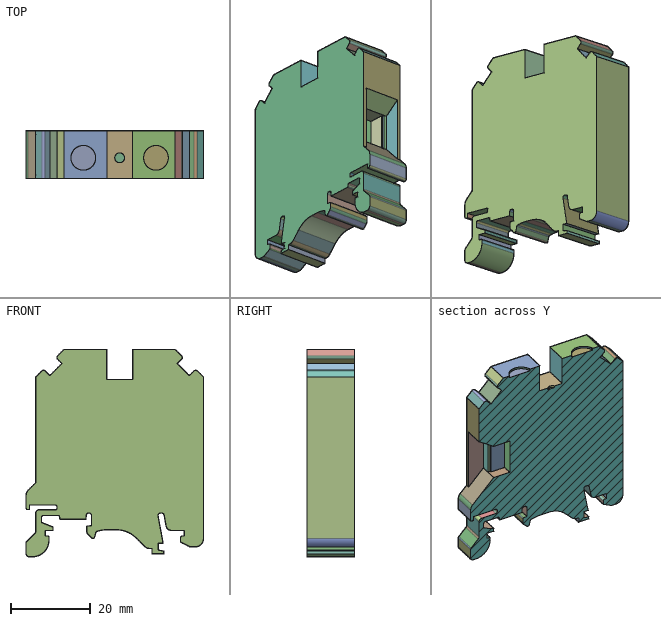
import cadquery as cq
import math


LENGTH = 44.5
THICKNESS = 12.0
HEIGHT = 52.0
BODY_LEFT = 2.45
BODY_MIDDLE = (BODY_LEFT + LENGTH) / 2

WALL_TOP = 45.08
SHOULDER_PEAK = (4.41, 47.04)
SHOULDER_VALLEY = (6.0, 45.45)
NECK = (9.0, 48.45)
HEAD_TIP = (7.5, 49.95)
HEAD_EDGE = HEAD_TIP[0] + HEIGHT - HEAD_TIP[1]
TIP_RADIUS = 0.6

SLOT_WIDTH = 6.45
SLOT_FLOOR = 44.5

ACROSS_CENTRE = -0.8
SCREW_DIAMETER = 6.2
SCREW_SPACING = 18.2
SLOT_HOLE_DIAMETER = 2.46
RECESS_DEPTH = 0.5

LEDGE_TOP = 18.6
LEDGE_RADIUS = 1.9
LIP_WIDTH = 0.95
LIP_RADIUS = 0.45

GAP_TOP = 13.0
GAP_BOTTOM = 11.83
GAP_END = 7.75
GAP_RADIUS = 0.4

RELIEF_TOP = 10.95
RAIL_NOTCH_TOP = 6.6
RAIL_NOTCH_BOTTOM = 5.26
ARCH_TOP = 6.78
HOOK_TIP = 4.67
WEB_UNDERSIDE = 9.39
LATCH_SHOULDER = 2.09
LATCH_TIP = 0.77
LATCH_NOTCH_TOP = 3.4
RIGHT_FOOT_BOTTOM = 2.5

SPRING_ROOT = 10.35
TOE_WIDTH = 5.8
TOE_RADIUS = 4.2
TOE_SHOULDER = 3.7

ENTRY_Y = (-5.15, 5.0)
ENTRY_DEPTH = 4.3
ENTRY_SILL = LEDGE_TOP + ENTRY_DEPTH
ENTRY_TOP = 35.15
ENTRY_BACK_TOP = 32.2
OPENING_WIDTH = 7.25
OPENING_DEPTH = 0.65
CONDUCTOR_WIDTH = 6.5
CONDUCTOR_DEPTH = 4.0


def rounded_outline(corners):
    """Closed XZ wire through (x, z, radius) corners, each rounded by a tangent arc."""
    stretches = []
    for i, (x, z, radius) in enumerate(corners):
        corner = cq.Vector(x, z)
        if radius == 0:
            stretches.append((corner,))
            continue
        before = corners[i - 1]
        after = corners[(i + 1) % len(corners)]
        to_before = (cq.Vector(before[0], before[1]) - corner).normalized()
        to_after = (cq.Vector(after[0], after[1]) - corner).normalized()
        half_angle = to_before.getAngle(to_after) / 2
        setback = radius / math.tan(half_angle)
        sagitta = radius / math.sin(half_angle) - radius
        bisector = (to_before + to_after).normalized()
        stretches.append((
            corner + to_before * setback,
            corner + bisector * sagitta,
            corner + to_after * setback,
        ))

    wire = cq.Workplane("XZ").moveTo(*stretches[0][-1].toTuple()[:2])
    for stretch in stretches[1:] + stretches[:1]:
        wire = wire.lineTo(*stretch[0].toTuple()[:2])
        if len(stretch) > 1:
            wire = wire.threePointArc(stretch[1].toTuple()[:2], stretch[2].toTuple()[:2])
    return wire.close()


def left_shoulder():
    """Left wall top up to the edge of the head."""
    return [
        (BODY_LEFT, WALL_TOP, 0),
        (*SHOULDER_PEAK, TIP_RADIUS),
        (*SHOULDER_VALLEY, 0),
        (*NECK, 0),
        (*HEAD_TIP, TIP_RADIUS),
        (HEAD_EDGE, HEIGHT, 0),
    ]


def right_shoulder():
    """Mirror image of the left shoulder, from the head down to the right wall."""
    return [(2 * BODY_MIDDLE - x, z, r) for x, z, r in reversed(left_shoulder())]


def head_slot():
    left = BODY_MIDDLE - SLOT_WIDTH / 2
    right = BODY_MIDDLE + SLOT_WIDTH / 2
    return [(left, HEIGHT, 0), (left, SLOT_FLOOR, 0), (right, SLOT_FLOOR, 0), (right, HEIGHT, 0)]


def right_foot():
    """Rounded lower right corner with the hook over the rail edge."""
    return [
        (LENGTH, RIGHT_FOOT_BOTTOM, 2.1),
        (41.1, RIGHT_FOOT_BOTTOM, 0.3),
        (38.7, 3.7, 0.3),
        (38.7, RAIL_NOTCH_BOTTOM, 0.5),
        (39.65, RAIL_NOTCH_BOTTOM, 0),
        (39.65, RAIL_NOTCH_TOP, 0),
    ]


def right_relief_and_latch():
    """Narrow relief slot and the notched latch to its left."""
    return [
        (35.3, RAIL_NOTCH_TOP, 1.4),
        (34.5, RELIEF_TOP, 0.55),
        (33.0, RELIEF_TOP, 0.55),
        (34.4, LATCH_NOTCH_TOP, 0),
        (33.2, LATCH_NOTCH_TOP, 0),
        (33.2, 1.75, 0),
        (34.55, 1.45, 0),
        (34.55, LATCH_TIP, 0),
        (31.55, LATCH_TIP, 0),
        (31.55, LATCH_SHOULDER, 0),
    ]


def rail_arch():
    """Arched underside between the latch and the middle hook."""
    return [
        (30.25, LATCH_SHOULDER, 1.8),
        (25.56, ARCH_TOP, 7.0),
        (19.5, ARCH_TOP, 7.0),
        (17.6, 6.35, 0.4),
    ]


def middle_hook():
    """Downward hook and the relief slot on its left."""
    return [
        (17.15, HOOK_TIP, 0.3),
        (16.5, HOOK_TIP, 0.2),
        (15.2, 6.0, 1.2),
        (15.2, 7.75, 0.2),
        (16.4, 7.84, 0),
        (16.4, RELIEF_TOP, 0.5),
        (15.2, RELIEF_TOP, 0.5),
        (15.05, WEB_UNDERSIDE, 0),
        (8.5, WEB_UNDERSIDE, 0.2),
        (8.35, SPRING_ROOT, 0.3),
    ]


def spring_foot():
    """Flexible left leg: inner side, rounded toe and outer side."""
    return [
        (3.92, SPRING_ROOT, 0.45),
        (3.92, 8.66, 0.2),
        (6.8, 7.5, 0),
        (6.8, RAIL_NOTCH_TOP, 0),
        (4.86, RAIL_NOTCH_TOP, 0),
        (4.86, RAIL_NOTCH_BOTTOM, 0),
        (TOE_WIDTH, RAIL_NOTCH_BOTTOM, 0.3),
        (TOE_WIDTH, 0, TOE_RADIUS),
        (0, 0, 0.87),
        (0, TOE_SHOULDER, 0.5),
        (BODY_LEFT, TOE_SHOULDER + BODY_LEFT, 0.85),
        (BODY_LEFT, GAP_BOTTOM, 0.8),
    ]


def ledge():
    """Spring gap, the lip below the ledge and the ledge slope."""
    return [
        (GAP_END, GAP_BOTTOM, GAP_RADIUS),
        (GAP_END, GAP_TOP, GAP_RADIUS),
        (LIP_WIDTH, GAP_TOP, 0),
        (LIP_WIDTH, GAP_BOTTOM, 0),
        (0, GAP_BOTTOM, LIP_RADIUS),
        (0, LEDGE_TOP - BODY_LEFT, LEDGE_RADIUS),
        (BODY_LEFT, LEDGE_TOP, 0),
    ]


def housing():
    corners = (
        left_shoulder()
        + head_slot()
        + right_shoulder()
        + right_foot()
        + right_relief_and_latch()
        + rail_arch()
        + middle_hook()
        + spring_foot()
        + ledge()
    )
    return rounded_outline(corners).extrude(THICKNESS / 2, both=True)


def round_recess(x, top, diameter):
    """Shallow blind cylinder going down from the given height."""
    centre = cq.Vector(x, ACROSS_CENTRE, top - RECESS_DEPTH)
    return cq.Workplane("XY").add(cq.Solid.makeCylinder(diameter / 2, RECESS_DEPTH, centre))


def entry_funnel():
    """Wire entry with a sloping roof and a floor that continues the ledge slope."""
    back = BODY_LEFT + ENTRY_DEPTH
    near, far = ENTRY_Y
    return (
        cq.Workplane("XZ", origin=(0, near, 0))
        .moveTo(BODY_LEFT, LEDGE_TOP)
        .lineTo(back, ENTRY_SILL)
        .lineTo(back, ENTRY_BACK_TOP)
        .lineTo(BODY_LEFT, ENTRY_TOP)
        .close()
        .extrude(near - far)
    )


def conductor_passage(start, depth, width):
    """Rectangular passage running in +X behind the entry funnel."""
    height = ENTRY_BACK_TOP - ENTRY_SILL
    passage = cq.Workplane("XY").box(depth, width, height, centered=(False, True, False))
    return passage.translate((start, ACROSS_CENTRE, ENTRY_SILL))


result = housing()

for side in (-1, 1):
    screw_x = BODY_MIDDLE + side * SCREW_SPACING / 2
    result = result.cut(round_recess(screw_x, HEIGHT, SCREW_DIAMETER))
result = result.cut(round_recess(BODY_MIDDLE, SLOT_FLOOR, SLOT_HOLE_DIAMETER))

opening_start = BODY_LEFT + ENTRY_DEPTH
conductor_start = opening_start + OPENING_DEPTH
result = result.cut(entry_funnel())
result = result.cut(conductor_passage(opening_start, OPENING_DEPTH, OPENING_WIDTH))
result = result.cut(conductor_passage(conductor_start, CONDUCTOR_DEPTH, CONDUCTOR_WIDTH))